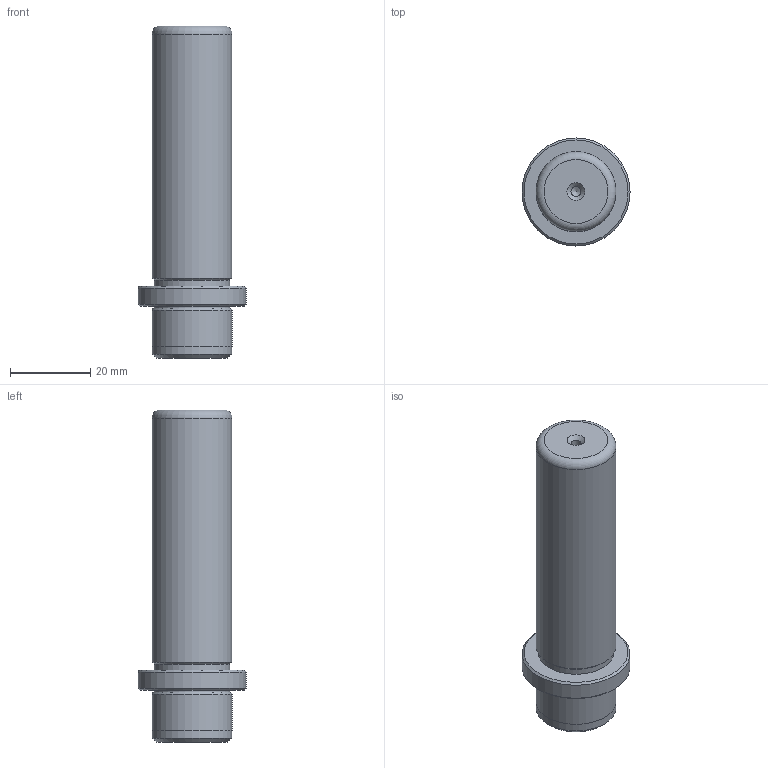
import cadquery as cq
import math

total_length = 83.0
flange_bottom = 13.0
flange_thickness = 5.0
flange_radius = 13.5
edge_chamfer = 0.5

shaft_radius = 9.99
shaft_top_fillet = 2.0

press_fit_radius = 10.0
lead_in_radius = shaft_radius
lead_in_length = 3.0
lead_in_chamfer = 1.0

groove_depth = edge_chamfer
upper_groove_width = 1.5
lower_groove_width = 0.5

center_mouth_diameter = 4.5
center_pilot_diameter = 2.5
center_cone_angle = 90.0
center_pilot_length = 2.0
drill_tip_angle = 120.0

flange_top = flange_bottom + flange_thickness
shaft_bottom = flange_top + upper_groove_width
press_fit_top = flange_bottom - lower_groove_width
upper_groove_radius = shaft_radius - groove_depth
lower_groove_radius = press_fit_radius - groove_depth


def revolve_profile(sketch):
    """Revolve a half profile (radius, height) about the Z axis."""
    return sketch.close().revolve(360, (0, 0, 0), (0, 1, 0))


def make_body():
    """Shank, flange and guide shaft as one turned body."""
    fillet_start = total_length - shaft_top_fillet
    fillet_inner_radius = shaft_radius - shaft_top_fillet
    fillet_mid_offset = shaft_top_fillet * math.sin(math.radians(45))
    fillet_mid = (fillet_inner_radius + fillet_mid_offset, fillet_start + fillet_mid_offset)
    profile = (
        cq.Workplane("XZ")
        .moveTo(0, 0)
        .lineTo(lead_in_radius - lead_in_chamfer, 0)
        .lineTo(lead_in_radius, lead_in_chamfer)
        .lineTo(lead_in_radius, lead_in_length)
        .lineTo(press_fit_radius, lead_in_length)
        .lineTo(press_fit_radius, press_fit_top - edge_chamfer)
        .lineTo(lower_groove_radius, press_fit_top)
        .lineTo(lower_groove_radius, flange_bottom)
        .lineTo(flange_radius - edge_chamfer, flange_bottom)
        .lineTo(flange_radius, flange_bottom + edge_chamfer)
        .lineTo(flange_radius, flange_top - edge_chamfer)
        .lineTo(flange_radius - edge_chamfer, flange_top)
        .lineTo(upper_groove_radius, flange_top)
        .lineTo(upper_groove_radius, shaft_bottom)
        .lineTo(shaft_radius, shaft_bottom + edge_chamfer)
        .lineTo(shaft_radius, fillet_start)
        .threePointArc(fillet_mid, (fillet_inner_radius, total_length))
        .lineTo(0, total_length)
    )
    return revolve_profile(profile)


def make_center_hole():
    """Countersunk centre hole with a short pilot and a conical drill tip."""
    mouth_radius = center_mouth_diameter / 2
    pilot_radius = center_pilot_diameter / 2
    cone_depth = (mouth_radius - pilot_radius) / math.tan(math.radians(center_cone_angle / 2))
    tip_depth = pilot_radius / math.tan(math.radians(drill_tip_angle / 2))
    pilot_top = total_length - cone_depth
    pilot_bottom = pilot_top - center_pilot_length
    profile = (
        cq.Workplane("XZ")
        .moveTo(0, total_length)
        .lineTo(mouth_radius, total_length)
        .lineTo(pilot_radius, pilot_top)
        .lineTo(pilot_radius, pilot_bottom)
        .lineTo(0, pilot_bottom - tip_depth)
    )
    return revolve_profile(profile)


result = make_body().cut(make_center_hole())